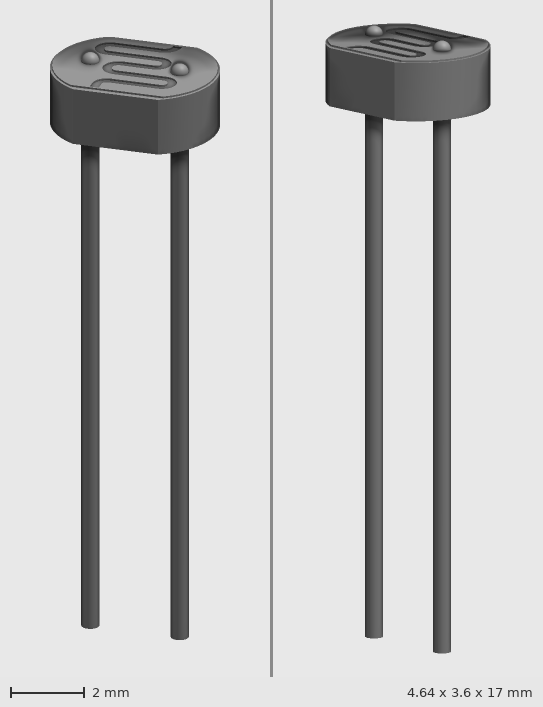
import cadquery as cq
import math

total_height = 17.0
body_length = 4.64
body_width = 3.6
flat_length = 2.41
body_bottom = 15.08

lead_diameter = 0.5
lead_radius = lead_diameter / 2
lead_pitch = 2.53
lead_x = [-lead_pitch / 2, lead_pitch / 2]

plate_top = total_height - lead_radius
plate_thickness = 0.05
plate_bottom = plate_top - plate_thickness
plate_width = 3.32
plate_length = 4.52
plate_flat_length = 2.62

track_width = 0.25
row_y = [1.22, 0.66, 0.1, -0.51, -1.07]
turn_x = [-1.0, 0.5, -0.4, 1.0]
first_bend_radius = 0.35
last_bend_radius = 0.27
first_end_x = 0.71
last_end_x = -0.66
end_wall = 0.05
track_end_y = plate_width / 2 - end_wall


def rounded_block(length, width, flat, bottom, top):
    """Block with flat front and back faces and bowed left and right faces."""
    return (
        cq.Workplane("XY", origin=(0, 0, bottom))
        .moveTo(-flat / 2, -width / 2)
        .lineTo(flat / 2, -width / 2)
        .threePointArc((length / 2, 0), (flat / 2, width / 2))
        .lineTo(-flat / 2, width / 2)
        .threePointArc((-length / 2, 0), (-flat / 2, -width / 2))
        .close()
        .extrude(top - bottom)
    )


def make_lead(x):
    """Round wire with a hemispherical top."""
    wire = cq.Workplane("XY", origin=(x, 0, 0)).circle(lead_radius).extrude(plate_top)
    dome = cq.Workplane("XY", origin=(x, 0, plate_top)).sphere(lead_radius)
    return wire.union(dome)


def lead_holes():
    """Cutter for the lead passages, long enough for the body and the plate."""
    return (
        cq.Workplane("XY")
        .pushPoints([(x, 0) for x in lead_x])
        .circle(lead_radius)
        .extrude(total_height)
    )


def track_centre_line():
    """Path of the serpentine slot from the back edge to the front edge."""
    first_reach = first_bend_radius * math.sqrt(0.5)
    last_reach = last_bend_radius * math.sqrt(0.5)
    first_bend = (first_end_x - first_bend_radius, row_y[0] + first_bend_radius)
    last_bend = (last_end_x + last_bend_radius, row_y[-1] - last_bend_radius)

    path = (
        cq.Workplane("XY", origin=(0, 0, plate_bottom))
        .moveTo(first_end_x, track_end_y)
        .lineTo(first_end_x, first_bend[1])
        .threePointArc(
            (first_bend[0] + first_reach, first_bend[1] - first_reach),
            (first_bend[0], row_y[0]),
        )
    )
    side = -1
    for x, upper_y, lower_y in zip(turn_x, row_y, row_y[1:]):
        turn_radius = (upper_y - lower_y) / 2
        middle = (x + side * turn_radius, (upper_y + lower_y) / 2)
        path = path.lineTo(x, upper_y).threePointArc(middle, (x, lower_y))
        side = -side
    return (
        path.lineTo(last_bend[0], row_y[-1])
        .threePointArc(
            (last_bend[0] - last_reach, last_bend[1] + last_reach),
            (last_end_x, last_bend[1]),
        )
        .lineTo(last_end_x, -track_end_y)
    )


def track_slot():
    """Cutter for the serpentine slot, as deep as the plate."""
    profile = cq.Workplane("XZ", origin=(first_end_x, track_end_y, plate_bottom + plate_thickness / 2))
    return profile.rect(track_width, plate_thickness).sweep(track_centre_line())


body = rounded_block(body_length, body_width, flat_length, body_bottom, plate_bottom)
body = body.cut(lead_holes())

plate = rounded_block(plate_length, plate_width, plate_flat_length, plate_bottom, plate_top)
plate = plate.cut(lead_holes()).cut(track_slot())

leads = [make_lead(x).solids().val() for x in lead_x]

result = cq.Compound.makeCompound([body.solids().val(), plate.solids().val(), *leads])